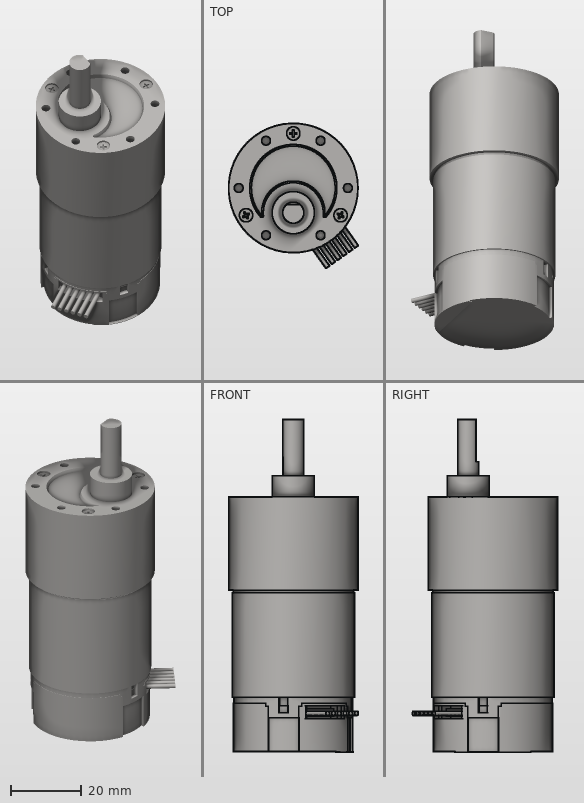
import cadquery as cq
import math


GEARBOX_RADIUS = 18.4
GEARBOX_LENGTH = 26.5
NECK_RADIUS = 17.1
NECK_LENGTH = 0.8
MOTOR_RADIUS = 17.4
MOTOR_BOTTOM = -57.0
SHAFT_Y = -7.0
BOSS_RADIUS = 6.0
BOSS_HEIGHT = 6.0
SHAFT_RADIUS = 3.0
SHAFT_TOP = 22.0
FLAT_LENGTH = 12.0
FLAT_DEPTH = 0.75

FACE_PITCH_RADIUS = 15.5
MOUNT_HOLE_DIAMETER = 2.5
MOUNT_HOLE_DEPTH = 3.0
MOUNT_HOLE_COUNT = 6
SCREW_HOLE_DIAMETER = 3.8
SCREW_HEAD_DEPTH = 0.6
SCREW_COUNT = 3
SCREW_START_ANGLE = 90.0
CROSS_LENGTH = 2.1
CROSS_WIDTH = 0.5
CROSS_DEPTH = 0.5
CRESCENT_DEPTH = 1.0
CRESCENT_OUTER_RADIUS = 11.9
CRESCENT_INNER_RADIUS = 9.0
CRESCENT_DRAFT = 0.5

CAP_RADIUS = 16.9
CORE_RADIUS = 16.15
COVER_RADIUS = 17.0
CUT_REACH = COVER_RADIUS + 2.0
PANEL_TOP = -58.7
TAB_BOTTOM = -62.7
COVER_BOTTOM = -72.4
WIRE_ANGLE = -54.7
OPENING_OFFSETS = (-45.0, 45.0, 180.0)
OPENING_WIDTH = 8.8
CORNER_NOTCH_WIDTH = 0.8
CORNER_NOTCH_HEIGHT = 0.8
WINDOW_WIDTH = 2.6
WINDOW_BOTTOM = -61.3
WINDOW_STEP_Z = -59.4
WINDOW_UPPER_RADIUS = 15.5
WINDOW_LOWER_RADIUS = 15.7

PAD_BOTTOM = -72.6
PAD_START_X = 12.1
PAD_WIDTH = 21.6

SOCKET_WIDTH = 13.5
SOCKET_TOP = -59.3
SOCKET_BOTTOM = -63.0
SOCKET_BACK = 11.0
CONNECTOR_TOP = -60.2
CONNECTOR_BOTTOM = -62.4
CONNECTOR_FRONT = 12.5
END_WALL_FRONT = 14.1
END_WALL_THICKNESS = 1.5
WIRE_COUNT = 6
WIRE_PITCH = 2.0
WIRE_RADIUS = 0.65
WIRE_Z = -61.5
WIRE_END = 24.0


def cylinder(radius, z_low, z_high, x=0.0, y=0.0):
    """Upright cylinder between two heights."""
    return cq.Workplane("XY", origin=(x, y, z_low)).circle(radius).extrude(z_high - z_low)


def radial_box(near, far, width, z_low, z_high, angle):
    """Box reaching from one distance to another along a horizontal direction."""
    box = cq.Workplane("XY").box(far - near, width, z_high - z_low, centered=(False, True, False))
    return box.translate((near, 0, z_low)).rotate((0, 0, 0), (0, 0, 1), angle)


def make_motor():
    neck_bottom = -GEARBOX_LENGTH - NECK_LENGTH
    body = cylinder(GEARBOX_RADIUS, -GEARBOX_LENGTH, 0)
    body = body.union(cylinder(NECK_RADIUS, neck_bottom, -GEARBOX_LENGTH))
    return body.union(cylinder(MOTOR_RADIUS, MOTOR_BOTTOM, neck_bottom))


def make_shaft():
    boss = cylinder(BOSS_RADIUS, 0, BOSS_HEIGHT, y=SHAFT_Y)
    shaft = cylinder(SHAFT_RADIUS, 0, SHAFT_TOP, y=SHAFT_Y)
    flat_cut = (
        cq.Workplane("XY", origin=(0, SHAFT_Y + SHAFT_RADIUS - FLAT_DEPTH, SHAFT_TOP - FLAT_LENGTH))
        .box(2 * SHAFT_RADIUS, 2 * FLAT_DEPTH, FLAT_LENGTH, centered=(True, False, False))
    )
    return boss.union(shaft.cut(flat_cut))


def make_crescent_pocket():
    """Drafted pocket: a circle about the gearbox axis less a circle about the shaft."""
    radius_term = CRESCENT_INNER_RADIUS**2 - CRESCENT_OUTER_RADIUS**2
    tip_y = (SHAFT_Y**2 - radius_term) / (2 * SHAFT_Y)
    tip_x = math.sqrt(CRESCENT_OUTER_RADIUS**2 - tip_y**2)
    draft_angle = math.degrees(math.atan(CRESCENT_DRAFT / CRESCENT_DEPTH))
    return (
        cq.Workplane("XY", origin=(0, 0, -CRESCENT_DEPTH))
        .moveTo(tip_x, tip_y)
        .threePointArc((0, CRESCENT_OUTER_RADIUS), (-tip_x, tip_y))
        .threePointArc((0, SHAFT_Y + CRESCENT_INNER_RADIUS), (tip_x, tip_y))
        .close()
        .extrude(CRESCENT_DEPTH, taper=-draft_angle)
    )


def make_face_cuts():
    """Mounting holes and recessed cross-head screws around the gearbox face."""
    holes = (
        cq.Workplane("XY")
        .polarArray(FACE_PITCH_RADIUS, 0, 360, MOUNT_HOLE_COUNT)
        .circle(MOUNT_HOLE_DIAMETER / 2)
        .extrude(-MOUNT_HOLE_DEPTH)
    )
    screws = (
        cq.Workplane("XY")
        .polarArray(FACE_PITCH_RADIUS, SCREW_START_ANGLE, 360, SCREW_COUNT)
        .circle(SCREW_HOLE_DIAMETER / 2)
        .extrude(-SCREW_HEAD_DEPTH)
    )
    cuts = holes.union(screws)
    for arm_angle in (0, 90):
        arms = (
            cq.Workplane("XY", origin=(0, 0, -SCREW_HEAD_DEPTH))
            .polarArray(FACE_PITCH_RADIUS, SCREW_START_ANGLE, 360, SCREW_COUNT)
            .slot2D(CROSS_LENGTH, CROSS_WIDTH, arm_angle)
            .extrude(-CROSS_DEPTH)
        )
        cuts = cuts.union(arms)
    return cuts


def make_cover():
    """Skirted cover with three parallel-sided openings whose upper corners are notched."""
    notched_width = OPENING_WIDTH + 2 * CORNER_NOTCH_WIDTH
    notch_bottom = PANEL_TOP - CORNER_NOTCH_HEIGHT
    skirt = cylinder(COVER_RADIUS, COVER_BOTTOM, PANEL_TOP)
    for offset in OPENING_OFFSETS:
        angle = WIRE_ANGLE + offset
        skirt = skirt.cut(radial_box(0, CUT_REACH, OPENING_WIDTH, COVER_BOTTOM, PANEL_TOP, angle))
        skirt = skirt.cut(radial_box(0, CUT_REACH, notched_width, notch_bottom, PANEL_TOP, angle))
    return skirt


def make_encoder():
    """Cap with latch tabs, cover core, skirt and the raised segment underneath."""
    cap = cylinder(CAP_RADIUS, TAB_BOTTOM, MOTOR_BOTTOM)
    core = cylinder(CORE_RADIUS, COVER_BOTTOM, TAB_BOTTOM)
    pad = cylinder(COVER_RADIUS, PAD_BOTTOM, COVER_BOTTOM).intersect(
        radial_box(PAD_START_X, CUT_REACH, PAD_WIDTH, PAD_BOTTOM, COVER_BOTTOM, 0)
    )
    encoder = cap.union(core).union(make_cover()).union(pad)
    for offset in OPENING_OFFSETS:
        angle = WIRE_ANGLE + offset
        encoder = encoder.cut(
            radial_box(
                WINDOW_UPPER_RADIUS, CUT_REACH, WINDOW_WIDTH, WINDOW_STEP_Z, MOTOR_BOTTOM, angle
            )
        )
        encoder = encoder.cut(
            radial_box(
                WINDOW_LOWER_RADIUS, CUT_REACH, WINDOW_WIDTH, WINDOW_BOTTOM, WINDOW_STEP_Z, angle
            )
        )
    return encoder


def make_socket():
    return radial_box(
        SOCKET_BACK, CUT_REACH, SOCKET_WIDTH, SOCKET_BOTTOM, SOCKET_TOP, WIRE_ANGLE
    )


def make_connector():
    """Connector block at the back of the socket, its two end walls and a row of wires."""
    connector = radial_box(
        SOCKET_BACK, CONNECTOR_FRONT, SOCKET_WIDTH, CONNECTOR_BOTTOM, CONNECTOR_TOP, WIRE_ANGLE
    )
    end_walls = radial_box(
        SOCKET_BACK, END_WALL_FRONT, SOCKET_WIDTH, SOCKET_BOTTOM, SOCKET_TOP, WIRE_ANGLE
    )
    between_walls = radial_box(
        SOCKET_BACK,
        END_WALL_FRONT,
        SOCKET_WIDTH - 2 * END_WALL_THICKNESS,
        SOCKET_BOTTOM,
        SOCKET_TOP,
        WIRE_ANGLE,
    )
    connector = connector.union(end_walls.cut(between_walls))
    for index in range(WIRE_COUNT):
        side = (index - (WIRE_COUNT - 1) / 2) * WIRE_PITCH
        wire = (
            cq.Workplane("YZ", origin=(SOCKET_BACK, side, WIRE_Z))
            .circle(WIRE_RADIUS)
            .extrude(WIRE_END - SOCKET_BACK)
            .rotate((0, 0, 0), (0, 0, 1), WIRE_ANGLE)
        )
        connector = connector.union(wire)
    return connector


motor = make_motor().cut(make_crescent_pocket()).cut(make_face_cuts()).union(make_shaft())
encoder = make_encoder().cut(make_socket()).union(make_connector())
result = motor.union(encoder)